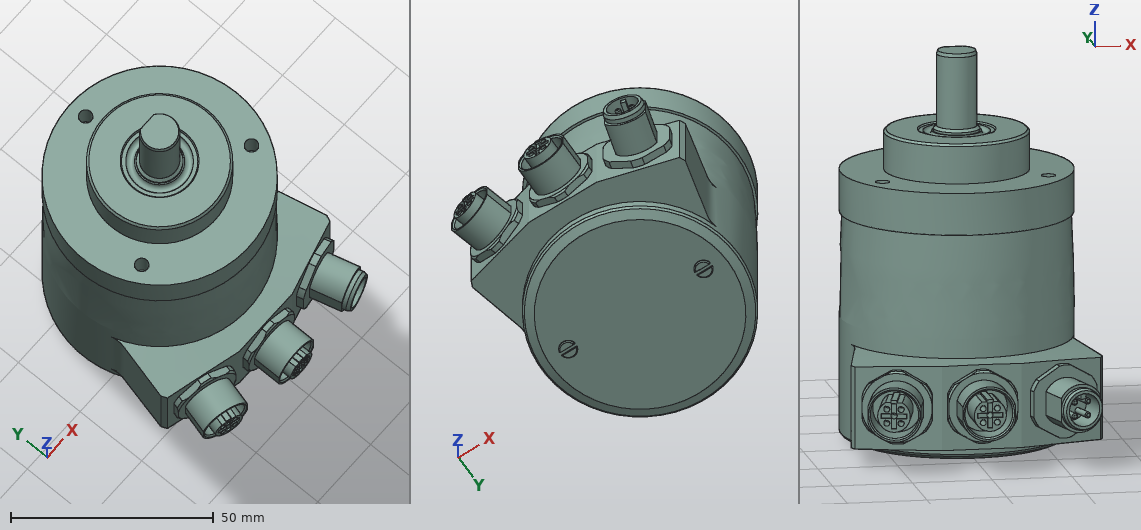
import cadquery as cq
import math

shaft_top_z = 98.0
boss_top_z = 78.1
flange_top_z = 68.1
flange_bottom_z = 57.5
waist_bottom_z = 31.4
bottom_edge_z = 2.3
base_z = 0.6

body_r = 29.0
waist_top_r = 28.3
boss_r = 18.0
boss_chamfer = 0.6
bottom_shoulder_drop = 0.6
bottom_shoulder_inset = 0.5
bottom_face_r = 26.1
shaft_hole_depth = boss_top_z - flange_top_z

seat_mouth_r = 9.7
seat_floor_r = 9.4
seat_depth = 0.4
seal_groove_middle_r = 7.3
seal_groove_half = 1.1

screw_circle_r = 24.0
screw_hole_d = 3.5
screw_hole_depth = 8.0
screw_count = 3
first_screw_angle = 90.0
drill_tip_angle = 118.0
notch_floor_y = 28.0
notch_height = 5.0

shaft_r = 5.0
tip_taper_length = 0.9
tip_taper_inset = 0.3
collar_r = 5.8
collar_top_z = boss_top_z + 0.2
collar_cone_top_z = 79.0
flat_offset = 4.0
flat_bottom_z = 80.0

foot_x = 20.0
foot_y = -1.9
foot_r = 2.4
foot_chamfer = 0.3
foot_slot_width = 1.0

block_bottom_z = 4.7
block_top_z = 26.5
block_slope = 4.5
block_reach = 49.0
block_neck_half = 27.8
block_neck_y = -12.3
neck_hollow = 0.3
block_half = 31.5
block_side_y = -27.3
corner_half = 30.8
facet_half = 10.0
front_y = -34.5
facet_angle = 15.0
corner_y = front_y + (corner_half - facet_half) * math.tan(math.radians(facet_angle))

connector_z = 15.7
connector_offset = 11.0
nut_flats = 17.2
nut_corner_r = 9.2
nut_thickness = 2.0
nut_chamfer = 0.5
contact_offset = 1.8

socket_r = 6.9
socket_flat = 6.6
socket_length = 9.9
socket_bore_r = 6.0
socket_bore_depth = 7.8
socket_bore_chamfer = 0.4
socket_bore_chamfer_angle = 45.0
insert_r = 4.0
insert_length = 11.5
insert_key_half = 0.8
insert_key_base = 3.4
contact_hole_d = 1.5
contact_hole_depth = 4.9
cross_width = 1.2
cross_length = 6.3
cross_depth = 0.5

plug_r = 6.1
plug_flat = 5.3
plug_length = 12.9
plug_neck_r = plug_flat
plug_tip_r = 4.9
plug_tip_length = 1.0
plug_neck_length = 1.2
plug_bore_r = 4.1
plug_bore_depth = 7.6
pin_r = 0.735
pin_length = 6.1
pin_chamfer = 0.3
plug_key_width = 1.3
plug_key_height = 1.5
plug_key_length = 7.1


def ring_profile(points):
    """Solid of revolution about Z from closed (radius, height) points."""
    return cq.Workplane("XZ").polyline(points).close().revolve(360, (0, 0, 0), (0, 1, 0))


def disc(radius, start, length):
    """Cylinder along a connector axis, which points toward -Y."""
    return cq.Workplane("XZ", origin=(0, -start, 0)).circle(radius).extrude(length)


def bar(width, height, start, length, center_z=0.0):
    """Rectangular bar along a connector axis."""
    return cq.Workplane("XZ", origin=(0, -start, center_z)).rect(width, height).extrude(length)


def contacts(diameter, start, length):
    """Four cylinders at the contact positions of a connector."""
    return (
        cq.Workplane("XZ", origin=(0, -start, 0))
        .rect(2 * contact_offset, 2 * contact_offset, forConstruction=True)
        .vertices()
        .circle(diameter / 2)
        .extrude(length)
    )


def round_housing():
    waist_height = flange_bottom_z - waist_bottom_z
    waist_middle_r = body_r - (body_r - waist_top_r) / 4
    return (
        cq.Workplane("XZ")
        .moveTo(0, base_z)
        .lineTo(bottom_face_r, base_z)
        .lineTo(body_r - bottom_shoulder_inset, bottom_edge_z - bottom_shoulder_drop)
        .lineTo(body_r, bottom_edge_z)
        .lineTo(body_r, waist_bottom_z)
        .threePointArc(
            (waist_middle_r, waist_bottom_z + waist_height / 2),
            (waist_top_r, flange_bottom_z),
        )
        .lineTo(body_r, flange_bottom_z)
        .lineTo(body_r, flange_top_z)
        .lineTo(boss_r, flange_top_z)
        .lineTo(boss_r, boss_top_z - boss_chamfer)
        .lineTo(boss_r - boss_chamfer, boss_top_z)
        .lineTo(0, boss_top_z)
        .close()
        .revolve(360, (0, 0, 0), (0, 1, 0))
    )


def connector_block():
    neck_start_y = -math.sqrt(body_r**2 - block_neck_half**2)
    neck_middle = (block_neck_half - neck_hollow, (neck_start_y + block_neck_y) / 2)
    prism = (
        cq.Workplane("XY", origin=(0, 0, block_bottom_z))
        .moveTo(-block_neck_half, neck_start_y)
        .lineTo(block_neck_half, neck_start_y)
        .threePointArc(neck_middle, (block_neck_half, block_neck_y))
        .lineTo(block_half, block_side_y)
        .lineTo(corner_half, corner_y)
        .lineTo(facet_half, front_y)
        .lineTo(-facet_half, front_y)
        .lineTo(-corner_half, corner_y)
        .lineTo(-block_half, block_side_y)
        .lineTo(-block_neck_half, block_neck_y)
        .threePointArc((-neck_middle[0], neck_middle[1]), (-block_neck_half, neck_start_y))
        .close()
        .extrude(waist_bottom_z - block_bottom_z)
    )
    slope = math.tan(math.radians(block_slope))
    sloping_top = ring_profile([
        (0, block_bottom_z),
        (block_reach, block_bottom_z),
        (block_reach, block_top_z - (block_reach - body_r) * slope),
        (body_r, block_top_z),
        (0, block_top_z),
    ])
    return prism.intersect(sloping_top)


def bearing_seat():
    floor_z = boss_top_z - seat_depth
    seat = ring_profile([
        (0, floor_z),
        (seat_floor_r, floor_z),
        (seat_mouth_r, boss_top_z),
        (0, boss_top_z),
    ])
    seal_groove = (
        cq.Workplane("XZ")
        .moveTo(seal_groove_middle_r + seal_groove_half, floor_z)
        .threePointArc(
            (seal_groove_middle_r, floor_z - seal_groove_half),
            (seal_groove_middle_r - seal_groove_half, floor_z),
        )
        .close()
        .revolve(360, (0, 0, 0), (0, 1, 0))
    )
    shaft_hole = cq.Workplane("XY", origin=(0, 0, flange_top_z)).circle(collar_r).extrude(shaft_hole_depth)
    return seat.union(seal_groove).union(shaft_hole)


def screw_hole(angle):
    radius = screw_hole_d / 2
    tip_length = radius / math.tan(math.radians(drill_tip_angle / 2))
    bottom_z = flange_top_z - screw_hole_depth
    hole = ring_profile([
        (0, flange_top_z),
        (radius, flange_top_z),
        (radius, bottom_z),
        (0, bottom_z - tip_length),
    ])
    turn = math.radians(angle)
    return hole.translate((screw_circle_r * math.cos(turn), screw_circle_r * math.sin(turn), 0))


def flange_notch():
    """Shallow flat on one half of the flange's rear, open to its lower edge."""
    return cq.Workplane("XY").box(body_r, body_r, notch_height, centered=False).translate(
        (-body_r, notch_floor_y, flange_bottom_z)
    )


def foot_screw(x):
    foot = cq.Workplane("XY").circle(foot_r).extrude(base_z).faces("<Z").chamfer(foot_chamfer)
    slot = cq.Workplane("XY").rect(2 * foot_r, foot_slot_width).extrude(base_z)
    return foot.cut(slot).translate((x, foot_y, 0))


def hex_nut(chamfer):
    """Hexagon with corners up and down, rounded off by a cylinder."""
    hexagon = cq.Workplane("XZ").polygon(6, nut_flats, circumscribed=True).extrude(nut_thickness)
    rounding = disc(nut_corner_r, 0, nut_thickness)
    if chamfer > 0:
        rounding = rounding.faces("<Y").chamfer(chamfer)
    return hexagon.intersect(rounding)


def socket_connector():
    """Female connector: flatted sleeve around a keyed insert with five contact holes."""
    sleeve = disc(socket_r, 0, socket_length).intersect(
        bar(2 * socket_flat, 2 * socket_r, 0, socket_length)
    )
    bore = disc(socket_bore_r, socket_length - socket_bore_depth, socket_bore_depth)
    bore_mouth = (
        cq.Workplane("XZ", origin=(0, -socket_length, 0))
        .circle(socket_bore_r + socket_bore_chamfer)
        .extrude(-socket_bore_chamfer, taper=socket_bore_chamfer_angle)
    )
    insert = disc(insert_r, 0, insert_length)
    step_width = insert_r - insert_key_half
    step_height = insert_r - insert_key_base
    for side in (-1, 1):
        step = bar(
            step_width, step_height, socket_length - socket_bore_depth, insert_length,
            insert_key_base + step_height / 2,
        )
        insert = insert.cut(step.translate((side * (insert_key_half + step_width / 2), 0, 0)))
    hole_start = insert_length - contact_hole_depth
    insert = insert.cut(disc(contact_hole_d / 2, hole_start, contact_hole_depth))
    insert = insert.cut(contacts(contact_hole_d, hole_start, contact_hole_depth))
    for width, height in ((cross_length, cross_width), (cross_width, cross_length)):
        insert = insert.cut(bar(width, height, insert_length - cross_depth, cross_depth))
    return sleeve.cut(bore).cut(bore_mouth).union(hex_nut(nut_chamfer)).union(insert)


def plug_connector():
    """Male connector: flatted sleeve with a stepped, tapered tip, a key and four pins inside."""
    tip_start = plug_length - plug_tip_length
    sleeve = (
        cq.Workplane("XY")
        .polyline([
            (0, 0),
            (plug_r, 0),
            (plug_r, plug_neck_length - tip_start),
            (plug_neck_r, plug_neck_length - tip_start),
            (plug_neck_r, -tip_start),
            (plug_tip_r, -plug_length),
            (0, -plug_length),
        ])
        .close()
        .revolve(360, (0, 0, 0), (0, 1, 0))
        .intersect(bar(2 * plug_flat, 2 * plug_r, 0, plug_length))
    )
    bore_start = plug_length - plug_bore_depth
    bore = disc(plug_bore_r, bore_start, plug_bore_depth)
    pins = contacts(2 * pin_r, bore_start, pin_length).faces("<Y").chamfer(pin_chamfer)
    key = bar(
        plug_key_width, plug_key_height, bore_start, plug_key_length, plug_bore_r - plug_key_height / 2
    )
    return sleeve.union(hex_nut(0)).cut(bore).union(pins).union(key)


def place_on_facet(connector, side):
    """Put a connector on the left (-1), middle (0) or right (1) facet of the block."""
    turn = math.radians(facet_angle)
    x = side * (facet_half + connector_offset * math.cos(turn))
    y = front_y + abs(side) * connector_offset * math.sin(turn)
    return connector.rotate((0, 0, 0), (0, 0, 1), side * facet_angle).translate((x, y, connector_z))


def build_housing():
    body = round_housing().cut(bearing_seat()).cut(flange_notch())
    for index in range(screw_count):
        body = body.cut(screw_hole(first_screw_angle + index * 360 / screw_count))
    for x in (-foot_x, foot_x):
        body = body.union(foot_screw(x))
    body = body.union(connector_block())
    body = body.union(place_on_facet(socket_connector(), -1))
    body = body.union(place_on_facet(socket_connector(), 0))
    return body.union(place_on_facet(plug_connector(), 1))


def build_shaft():
    turned = ring_profile([
        (0, flange_top_z),
        (collar_r, flange_top_z),
        (collar_r, collar_top_z),
        (shaft_r, collar_cone_top_z),
        (shaft_r, shaft_top_z - tip_taper_length),
        (shaft_r - tip_taper_inset, shaft_top_z),
        (0, shaft_top_z),
    ])
    flat = (
        cq.Workplane("XY", origin=(0, flat_offset + shaft_r / 2, flat_bottom_z))
        .rect(2 * shaft_r, shaft_r)
        .extrude(shaft_top_z - flat_bottom_z)
    )
    return turned.cut(flat)


housing = build_housing()
shaft = build_shaft()

result = cq.Compound.makeCompound([housing.solids().val(), shaft.solids().val()])